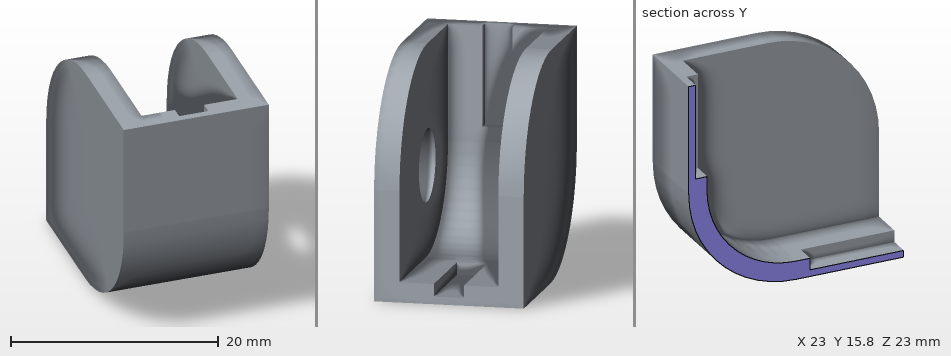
import cadquery as cq
import math

side = 23.0
body_depth = 14.8
wall = 2.5
rim = 2.0
open_radius = 12.0
closed_radius = 11.5

boss_diameter = 14.0
boss_height = 1.01
boss_fillet = 1.0
hole_diameter = 7.2
boss_x = open_radius
boss_z = side - open_radius

groove_width = 3.0
groove_depth = 1.25
groove_length = 10.0

cavity_depth = body_depth - 2 * wall
middle_y = body_depth / 2


def leaf(left, bottom, right, top, upper_radius, lower_radius):
    """Rectangle in XZ with rounded upper-left and lower-right corners."""
    diagonal = math.sqrt(0.5)
    upper_x = left + upper_radius
    upper_z = top - upper_radius
    lower_x = right - lower_radius
    lower_z = bottom + lower_radius
    upper_middle = (upper_x - upper_radius * diagonal, upper_z + upper_radius * diagonal)
    lower_middle = (lower_x + lower_radius * diagonal, lower_z - lower_radius * diagonal)
    return (
        cq.Workplane("XZ")
        .moveTo(left, bottom)
        .lineTo(left, upper_z)
        .threePointArc(upper_middle, (upper_x, top))
        .lineTo(right, top)
        .lineTo(right, lower_z)
        .threePointArc(lower_middle, (lower_x, bottom))
        .close()
    )


def back_cylinder(diameter, start_y, length):
    """Cylinder on the boss axis, running toward +Y."""
    return (
        cq.Workplane("XZ", origin=(boss_x, start_y, boss_z))
        .circle(diameter / 2)
        .extrude(-length)
    )


def corner_box(x, z, size_x, size_z, depth):
    """Box from its lower-left corner, centred across the housing depth."""
    return (
        cq.Workplane("XY")
        .box(size_x, depth, size_z, centered=(False, True, False))
        .translate((x, middle_y, z))
    )


body = leaf(0, 0, side, side, open_radius, closed_radius).extrude(-body_depth)

inner = side - rim
cavity_radius = closed_radius - rim
cavity = corner_box(0, rim, inner, inner, cavity_depth)
cavity = cavity.edges("|Y and >X and <Z").fillet(cavity_radius)
body = body.cut(cavity)

floor_groove = corner_box(0, rim - groove_depth, groove_length, groove_depth, groove_width)
wall_groove = corner_box(inner, side - groove_length, groove_depth, groove_length, groove_width)
body = body.cut(floor_groove).cut(wall_groove)

boss = back_cylinder(boss_diameter, body_depth, boss_height).faces(">Y").edges().fillet(boss_fillet)
hole = back_cylinder(hole_diameter, body_depth - wall, wall + boss_height)
result = body.union(boss).cut(hole)